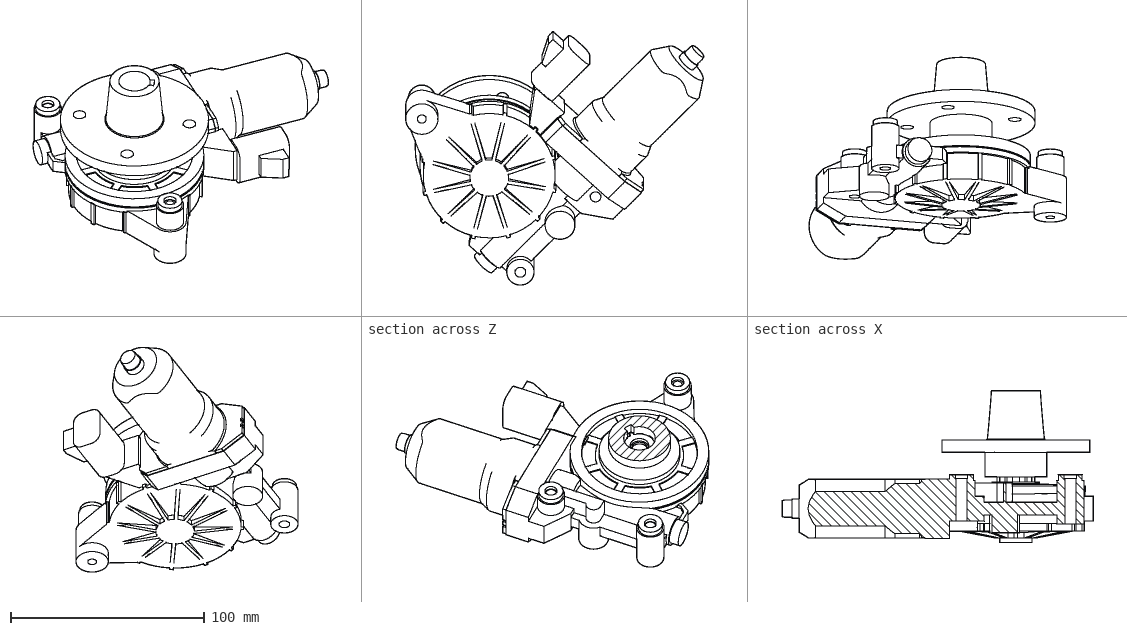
import cadquery as cq
import math


overlap = 0.8
hole_mouth_depth = 2.0

hub_bottom_z = 16.5
flange_bottom_z = 29.1
flange_top_z = 35.6
hub_top_z = 61.0
hub_collar_radius = 16.1
flange_radius = 38.3
cone_base_radius = 14.8
cone_top_radius = 12.7
cone_base_chamfer = 0.5
bore_radius = 8.0
keyway_width = 4.3
keyway_reach = 10.3
hub_pattern_angle = 60
flange_hole_count = 4
flange_hole_radius = 3.2
flange_hole_circle = 28.7

spline_tooth_count = 8
spline_tip_radius = 9.8
spline_root_radius = 8.5
spline_tooth_width = 3.5
shaft_collar_radius = 12.2
shaft_collar_bottom_z = 12.9
shaft_collar_top_z = 13.7
centre_hole_radius = 4.0
centre_mouth_radius = 4.8
centre_hole_depth = 3.2

case_radius = 34.1
case_bottom_z = -11.6
rim_radius = 35.9
rim_bottom_z = 2.4
rim_top_z = 11.8
rim_groove_z = 5.5
rim_groove_size = 0.5
case_rib_count = 12
case_rib_width = 2.0
case_rib_radius = 35.5
dish_outer_radius = 30.0
dish_ring_radius = 22.9
dish_floor_z = 8.5
dish_spoke_top_z = 9.2
dish_spoke_count = 8
dish_spoke_width = 4.2
crown_radius = 21.0
crown_edge_z = 12.4
floor_cone_radius = 29.8
floor_centre_radius = 10.0
floor_bottom_z = -15.3
floor_slope_drop = 0.8

boss_x = -49.1
boss_y = 28.2
boss_radius = 7.1
boss_spigot_radius = 6.3
boss_shoulder_z = 14.7
boss_top_z = 17.5
boss_hole_radius = 2.7
boss_mouth_radius = 3.0
front_boss_bottom_z = -8.0

lug_x = 48.1
lug_radius = 8.4
lug_root_radius = 29.0
lug_top_z = 3.5
lug_foot_z = -17.5
lug_hole_radius = 2.3
lug_mouth_radius = 3.2

motor_x = -34.0
motor_flat_z = 15.3
motor_radius = 17.5
motor_foot_radius = 20.0
motor_flare_radius = 20.6
motor_end_radius = 12.2
flat_edge_fillet = 4.8
nose_radius = 4.5
nose_collar_radius = 5.0
motor_end_y = 112.0
nose_collar_y = 115.8
nose_end_y = 120.9
nose_tip_radius = 4.2
nose_tip_start_y = 119.8
can_end_y = 103.7
can_start_y = 67.6
motor_foot_end_y = 62.6
motor_foot_start_y = 49.9
worm_sleeve_radius = 11.8
worm_sleeve_front_y = 20.0
worm_tube_radius = 7.7
worm_tube_front_y = -35.1
worm_cap_radius = 6.5
worm_cap_front_y = -40.1

block_left_x = -64.0
block_right_x = -4.0
block_front_y = 34.3
block_back_y = 47.0
block_top_z = 15.5
block_side_z = 9.3
block_chamfer_x = 11.9
block_right_chamfer = 3.5
gasket_back_y = 49.0
gasket_inset = 0.3
gasket_notch_depth = 1.3
gasket_notch_zs = (0.3, -3.5)
gasket_notch_height = 1.3

plate_half_height = 6.5
plate_corner_y = 25.5
plate_front_y = 16.5
rail_left_x = -50.0
rail_half_height = 3.4
rail_front_y = -33.8
ledge_front_y = -37.0
ledge_left_x = -29.1
ledge_right_x = -21.0
ledge_end_x = -15.5
ledge_case_y = -28.8
ledge_pocket_front_y = -35.1
ledge_pocket_corner_x = -22.4
ledge_pocket_side_x = -19.5
ledge_pocket_side_y = -32.2
ledge_pocket_floor_z = 1.6
wall_left_x = -46.2
wall_right_x = -40.5
wall_top_z = 13.4
pin_x = -45.0
pin_y = 5.8
pin_radius = 7.7
pin_bottom_z = -12.5
pin_top_radius = 4.0

neck_half_height = 9.7
neck_right_x = 14.7
neck_back_y = 51.4
neck_corner_y = 49.5
neck_front_x = 0.0
neck_front_y = 29.0
plug_left_x = 3.4
plug_right_x = 18.8
plug_back_y = 79.0
plug_half_height = 11.3
plug_fillet = 5.2
latch_reach_x = 26.4
latch_root_x = 21.4
latch_back_y = 75.5
latch_nose_y = 72.1
latch_front_y = 62.0
latch_half_height = 6.3


def cylinder(x, y, radius, bottom_z, top_z):
    """Upright cylinder."""
    return cq.Workplane("XY", origin=(x, y, bottom_z)).circle(radius).extrude(top_z - bottom_z)


def box(x_range, y_range, z_range):
    """Box between three pairs of limits."""
    corners = [(x_range[0], y_range[0]), (x_range[1], y_range[0]),
               (x_range[1], y_range[1]), (x_range[0], y_range[1])]
    return prism(corners, z_range)


def prism(outline, z_range):
    """Polygon in XY raised between two heights."""
    base = cq.Workplane("XY", origin=(0, 0, z_range[0]))
    return base.polyline(outline).close().extrude(z_range[1] - z_range[0])


def y_extrusion(profile, front_y, back_y):
    """Polygon in XZ drawn out along Y."""
    base = cq.Workplane("XZ", origin=(0, back_y, 0))
    return base.polyline(profile).close().extrude(back_y - front_y)


def turned(profile):
    """Turn an (r, z) profile about the hub axis."""
    return cq.Workplane("XZ").polyline(profile).close().revolve(360, (0, 0, 0), (0, 1, 0))


def motor_turned(profile):
    """Turn an (r, y) profile about the motor axis."""
    points = [(motor_x + r, y) for r, y in profile]
    return cq.Workplane("XY").polyline(points).close().revolve(360, (motor_x, 0, 0), (motor_x, 1, 0))


def radial_bars(count, inner_radius, outer_radius, width, z_range):
    """Evenly spaced bars pointing away from the hub axis, joined to one another where they meet."""
    bar = box((inner_radius, outer_radius), (-width / 2, width / 2), z_range)
    bars = cq.Workplane("XY")
    for index in range(count):
        bars = bars.add(bar.rotate((0, 0, 0), (0, 0, 1), index * 360 / count))
    return bars.combine()


def stepped_hole(x, y, radius, mouth_radius, bottom_z, top_z):
    """Cutter for a hole that widens at its upper mouth."""
    bore = cylinder(x, y, radius, bottom_z, top_z)
    return bore.union(cylinder(x, y, mouth_radius, top_z - hole_mouth_depth, top_z))


def make_hub():
    body = turned([
        (0, hub_bottom_z),
        (hub_collar_radius, hub_bottom_z),
        (hub_collar_radius, flange_bottom_z),
        (flange_radius, flange_bottom_z),
        (flange_radius, flange_top_z),
        (cone_base_radius + cone_base_chamfer, flange_top_z),
        (cone_base_radius, flange_top_z + cone_base_chamfer),
        (cone_top_radius, hub_top_z),
        (0, hub_top_z),
    ])
    body = body.cut(cylinder(0, 0, bore_radius, hub_bottom_z, hub_top_z))

    keyway = box((0, keyway_reach), (-keyway_width / 2, keyway_width / 2), (hub_bottom_z, hub_top_z))
    body = body.cut(keyway.rotate((0, 0, 0), (0, 0, 1), hub_pattern_angle))

    for index in range(flange_hole_count):
        angle = math.radians(hub_pattern_angle + index * 360 / flange_hole_count)
        hole_x = flange_hole_circle * math.cos(angle)
        hole_y = flange_hole_circle * math.sin(angle)
        body = body.cut(cylinder(hole_x, hole_y, flange_hole_radius, flange_bottom_z, flange_top_z))
    return body


def make_gear_case():
    """Round case with a rim, a spoked dish on top and a ribbed conical floor."""
    case = turned([
        (0, floor_bottom_z),
        (floor_centre_radius, floor_bottom_z),
        (floor_centre_radius, case_bottom_z - floor_slope_drop),
        (floor_cone_radius, case_bottom_z),
        (case_radius, case_bottom_z),
        (case_radius, rim_bottom_z),
        (rim_radius, rim_bottom_z),
        (rim_radius, rim_groove_z),
        (rim_radius - rim_groove_size, rim_groove_z),
        (rim_radius - rim_groove_size, rim_groove_z + rim_groove_size),
        (rim_radius, rim_groove_z + rim_groove_size),
        (rim_radius, rim_top_z),
        (dish_outer_radius, rim_top_z),
        (dish_outer_radius, dish_floor_z),
        (dish_ring_radius, dish_floor_z),
        (dish_ring_radius, dish_spoke_top_z),
        (crown_radius, dish_spoke_top_z),
        (crown_radius, crown_edge_z),
        (shaft_collar_radius, shaft_collar_bottom_z),
        (0, shaft_collar_bottom_z),
    ])
    spokes = radial_bars(dish_spoke_count, crown_radius, dish_outer_radius + overlap,
                         dish_spoke_width, (dish_floor_z - overlap, dish_spoke_top_z))
    side_ribs = radial_bars(case_rib_count, case_radius - overlap, case_rib_radius,
                            case_rib_width, (case_bottom_z, rim_bottom_z))
    floor_cone = turned([
        (0, floor_bottom_z),
        (floor_centre_radius, floor_bottom_z),
        (floor_cone_radius, case_bottom_z),
        (0, case_bottom_z),
    ])
    floor_ribs = radial_bars(case_rib_count, 0, floor_cone_radius, case_rib_width,
                             (floor_bottom_z, case_bottom_z))
    return case.union(spokes).union(side_ribs).union(floor_ribs.intersect(floor_cone))


def make_output_shaft():
    """Splined stub on a collar, ending against the underside of the hub."""
    collar = cylinder(0, 0, shaft_collar_radius, shaft_collar_bottom_z - overlap, shaft_collar_top_z)
    root = cylinder(0, 0, spline_root_radius, shaft_collar_bottom_z, hub_bottom_z)
    z_range = (shaft_collar_bottom_z, hub_bottom_z)
    teeth = radial_bars(spline_tooth_count, 0, spline_tip_radius, spline_tooth_width, z_range)
    centre_hole = stepped_hole(0, 0, centre_hole_radius, centre_mouth_radius,
                               hub_bottom_z - centre_hole_depth, hub_bottom_z)
    return collar.union(root).union(teeth).cut(centre_hole)


def motor_section(radius, y):
    """Closed round section with flats above and below, blended by fillets, across the motor axis."""
    fillet_z = motor_flat_z - flat_edge_fillet
    fillet_x = math.sqrt((radius - flat_edge_fillet) ** 2 - fillet_z ** 2)
    blend_scale = radius / (radius - flat_edge_fillet)
    half_angle = math.atan2(fillet_z, fillet_x) / 2 + math.pi / 4
    middle_x = fillet_x + flat_edge_fillet * math.cos(half_angle)
    middle_z = fillet_z + flat_edge_fillet * math.sin(half_angle)
    side_x = fillet_x * blend_scale
    side_z = fillet_z * blend_scale
    return (
        cq.Workplane("XZ", origin=(motor_x, y, 0))
        .moveTo(-fillet_x, motor_flat_z)
        .lineTo(fillet_x, motor_flat_z)
        .threePointArc((middle_x, middle_z), (side_x, side_z))
        .threePointArc((radius, 0), (side_x, -side_z))
        .threePointArc((middle_x, -middle_z), (fillet_x, -motor_flat_z))
        .lineTo(-fillet_x, -motor_flat_z)
        .threePointArc((-middle_x, -middle_z), (-side_x, -side_z))
        .threePointArc((-radius, 0), (-side_x, side_z))
        .threePointArc((-middle_x, middle_z), (-fillet_x, motor_flat_z))
        .close()
    )


def make_motor():
    """Stepped motor can with flats above and below, a tapered end and a nose."""
    foot = motor_section(motor_foot_radius, motor_foot_end_y).extrude(motor_foot_end_y - block_back_y)
    can = motor_section(motor_radius, motor_end_y).extrude(motor_end_y - can_start_y)
    shoulder = cq.Solid.makeLoft([
        motor_section(motor_foot_radius, motor_foot_end_y).val(),
        motor_section(motor_radius, can_start_y).val(),
    ], True)
    end_taper = motor_turned([
        (0, can_start_y),
        (motor_foot_radius, can_start_y),
        (motor_foot_radius, can_end_y - overlap),
        (motor_radius, can_end_y - overlap),
        (motor_radius, can_end_y),
        (motor_end_radius, motor_end_y),
        (0, motor_end_y),
    ])
    flare = motor_turned([
        (0, block_back_y),
        (motor_flare_radius, block_back_y),
        (motor_flare_radius, gasket_back_y),
        (motor_foot_radius, motor_foot_start_y),
        (0, motor_foot_start_y),
    ])
    flare_limit = box((motor_x - motor_flare_radius, motor_x + motor_flare_radius),
                      (block_back_y, motor_foot_start_y), (-motor_flat_z, motor_flat_z))
    nose = motor_turned([
        (0, motor_end_y - overlap),
        (nose_collar_radius, motor_end_y - overlap),
        (nose_collar_radius, nose_collar_y),
        (nose_radius, nose_collar_y),
        (nose_radius, nose_tip_start_y),
        (nose_tip_radius, nose_end_y),
        (0, nose_end_y),
    ])
    can = can.intersect(end_taper)
    flare = flare.intersect(flare_limit)
    return foot.union(shoulder).union(can).union(flare).union(nose)


def make_worm_housing():
    return motor_turned([
        (0, worm_cap_front_y),
        (worm_cap_radius, worm_cap_front_y),
        (worm_cap_radius, worm_tube_front_y),
        (worm_tube_radius, worm_tube_front_y),
        (worm_tube_radius, worm_sleeve_front_y),
        (worm_sleeve_radius, worm_sleeve_front_y),
        (worm_sleeve_radius, block_front_y + overlap),
        (0, block_front_y + overlap),
    ])


def block_profile(inset):
    """Outline of the motor mount in XZ, shrunk all round by the inset."""
    left = block_left_x + inset
    right = block_right_x - inset
    top = block_top_z - inset
    side = block_side_z - inset
    upper = [
        (left, side),
        (left + block_chamfer_x, top),
        (right - block_right_chamfer, top),
        (right, top - block_right_chamfer),
    ]
    lower = [(x, -z) for x, z in reversed(upper)]
    return upper + lower


def make_mount_block():
    block = y_extrusion(block_profile(0), block_front_y, block_back_y)
    gasket = y_extrusion(block_profile(gasket_inset), block_back_y - overlap, gasket_back_y)
    for notch_z in gasket_notch_zs:
        gasket = gasket.cut(box(
            (block_left_x, block_left_x + gasket_notch_depth),
            (block_back_y, gasket_back_y),
            (notch_z - gasket_notch_height / 2, notch_z + gasket_notch_height / 2),
        ))
    return block.union(gasket)


def make_side_plates():
    """Corner plate, rail beside the worm, pocketed ledge in front, and the wall with its pin."""
    plate = prism([
        (block_left_x, block_front_y + overlap),
        (block_left_x, plate_corner_y),
        (rail_left_x, plate_front_y),
        (motor_x, plate_front_y),
        (motor_x, block_front_y + overlap),
    ], (-plate_half_height, plate_half_height))
    rail = box((rail_left_x, motor_x), (rail_front_y, plate_front_y + overlap),
               (-rail_half_height, rail_half_height))
    ledge = prism([
        (ledge_left_x, ledge_front_y),
        (ledge_right_x, ledge_front_y),
        (ledge_end_x, ledge_case_y),
        (ledge_end_x, 0),
        (ledge_left_x, 0),
    ], (-rail_half_height, rail_half_height))
    ledge = ledge.cut(prism([
        (motor_x, ledge_pocket_front_y),
        (ledge_pocket_corner_x, ledge_pocket_front_y),
        (ledge_pocket_side_x, ledge_pocket_side_y),
        (ledge_pocket_side_x, 0),
        (motor_x, 0),
    ], (ledge_pocket_floor_z, rail_half_height)))
    wall_front_y = pin_y - pin_top_radius
    wall = box((wall_left_x, wall_right_x), (wall_front_y, block_front_y + overlap), (0, wall_top_z))
    wall = wall.cut(box((wall_left_x, pin_x), (wall_front_y, pin_y), (0, wall_top_z)))
    pin = cylinder(pin_x, pin_y, pin_radius, pin_bottom_z, rail_half_height)
    pin_top = cylinder(pin_x, pin_y, pin_top_radius, 0, wall_top_z)
    return plate.union(rail).union(ledge).union(wall).union(pin).union(pin_top)


def make_boss(x, y, bottom_z):
    """Boss with a thinner spigot on top."""
    shank = cylinder(x, y, boss_radius, bottom_z, boss_shoulder_z)
    return shank.union(cylinder(x, y, boss_spigot_radius, boss_shoulder_z - overlap, boss_top_z))


def make_lug():
    """Arm with straight sides tangent to the boss end and to a circle about the hub axis."""
    angle = math.acos((lug_root_radius - lug_radius) / lug_x)
    root_x = lug_root_radius * math.cos(angle)
    root_y = lug_root_radius * math.sin(angle)
    tip_x = lug_x + lug_radius * math.cos(angle)
    tip_y = lug_radius * math.sin(angle)
    arm = (
        cq.Workplane("XY", origin=(0, 0, case_bottom_z))
        .moveTo(root_x, -root_y)
        .lineTo(tip_x, -tip_y)
        .threePointArc((lug_x + lug_radius, 0), (tip_x, tip_y))
        .lineTo(root_x, root_y)
        .close()
        .extrude(lug_top_z - case_bottom_z)
    )
    return (
        arm.union(cylinder(lug_x, 0, lug_radius, lug_foot_z, lug_top_z))
        .union(make_boss(lug_x, 0, lug_top_z - overlap))
    )


def make_connector():
    neck = prism([
        (block_right_x - overlap, neck_front_y),
        (block_right_x - overlap, neck_back_y),
        (neck_right_x, neck_back_y),
        (neck_right_x, neck_corner_y),
        (neck_front_x, neck_front_y),
    ], (-neck_half_height, neck_half_height))
    plug = box((plug_left_x, plug_right_x), (neck_back_y, plug_back_y),
               (-plug_half_height, plug_half_height))
    plug = plug.edges("|Y").fillet(plug_fillet)
    latch = prism([
        (plug_right_x - overlap, latch_front_y),
        (latch_root_x, latch_front_y),
        (latch_reach_x, latch_nose_y),
        (latch_reach_x, latch_back_y),
        (plug_right_x - overlap, latch_back_y),
    ], (-latch_half_height, latch_half_height))
    return neck.union(plug).union(latch)


def make_gear_motor():
    body = make_gear_case()
    for piece in (
        make_worm_housing(),
        make_mount_block(),
        make_motor(),
        make_side_plates(),
        make_boss(boss_x, boss_y, -plate_half_height),
        make_boss(boss_x, -boss_y, front_boss_bottom_z),
        make_lug(),
        make_connector(),
        make_output_shaft(),
    ):
        body = body.union(piece)

    for y, bottom_z in ((boss_y, -plate_half_height), (-boss_y, front_boss_bottom_z)):
        body = body.cut(stepped_hole(boss_x, y, boss_hole_radius, boss_mouth_radius, bottom_z, boss_top_z))
    return body.cut(stepped_hole(lug_x, 0, lug_hole_radius, lug_mouth_radius, lug_foot_z, boss_top_z))


hub = make_hub()
gear_motor = make_gear_motor()

result = cq.Compound.makeCompound([hub.solids().val(), gear_motor.solids().val()])